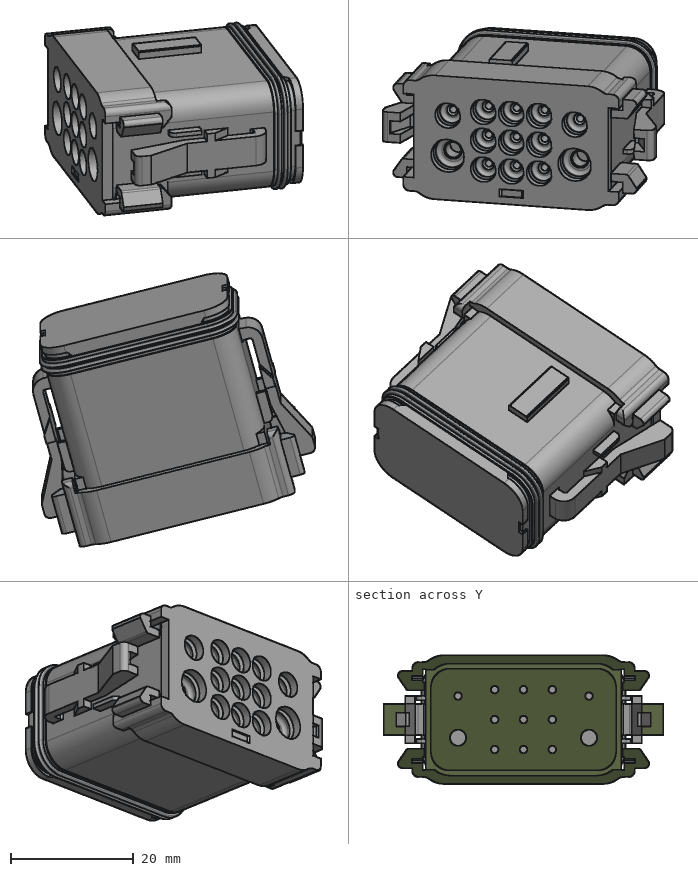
import cadquery as cq
import math


length = 34.15
shell_half_x = 15.95
shell_half_z = 9.15
shell_corner = 3.95

cap_plate = 1.8
cap_length = 9.2
cap_height = 21.05
cap_half_z = cap_height / 2
cap_half_x = 18.15
cap_shoulder_z = 9.4
cap_flat_half_x = 12.85
cap_swell_end = (15.4, 9.65)
cap_ledge_start_x = 16.15
cap_ledge_round = 1.1
cap_side_half_x = 16.4
ledge_under_z = 7.05

tab_inner_x = 16.42
tab_end_y = 11.2
tab_round = 0.9
tab_foot_z = 5.3
tab_foot_y = 9.8

hook_start_y = 2.45
hook_end_y = 9.1
hook_top_z = 7.95
hook_under_z = 4.75
hook_lip_z = 6.1
hook_lip_x = 16.15
hook_slot_end_z = 6.75
hook_tip_x = 20.5
hook_tip_z = 7.0
hook_heel_x = 19.0
hook_round = 0.78
hook_heel_round = 0.45

block_inner_x = 14.6
block_reach = block_inner_x - (shell_half_x - shell_corner)
block_top_z = shell_half_z - shell_corner + math.sqrt(shell_corner**2 - block_reach**2)

nose_half_x = 15.5
nose_half_z = 8.55
nose_corner = 3.65
seal_start_y = 29.15
seal_end_y = 32.05
seal_half_x = 16.05
seal_half_z = 9.15
seal_corner = 4.3
seal_rib_height = 0.6
seal_rib_width = 0.55
seal_rib_centers = (30.1, 31.1)
seal_rib_flare = 0.1
seal_rib_root = 0.25
seal_chamfer = 0.1

wedge_rim = 1.3
wedge_half_x = 15.8
wedge_half_z = 9.1
wedge_corner = 3.95
wedge_pad_half_x = 11.6
wedge_pad_taper = 0.75
notch_half_z = 1.3
notch_lip = 0.4
notch_step_x = 14.9

latch_half_z = 2.55
latch_outer_x = 19.3
latch_inner_x = 17.65
latch_root_y = 27.55
latch_outer_bend_y = 27.33
latch_root_inner_y = 25.5
latch_bend = 2.35
latch_bend_inner = 0.4
latch_root_flare = 0.3
latch_kink_y = 13.5
latch_tip_x = 22.8
latch_tip_y = 6.5
latch_end_y = 3.92
latch_end_inner_x = 19.65
latch_tip_round = 0.95
wing_half_z = 3.9
wing_y = (16.93, 18.3, 20.85)
thumb_half_z = 1.1
thumb_x = (19.2, 21.4)
thumb_floor_y = 8.8

guide_x = 17.55
guide_y = (11.25, 16.5)
guide_z = (3.15, 3.9)
guide_round = 0.9

key_x = (-6.65, -2.8)
key_y = (11.6, 22.15)
key_top_z = 10.5
key_chamfer = 0.2

slot_half_x = 2.0
slot_z = (-9.25, -8.05)
slot_depth = 0.3
slot_taper = 0.3

grommet_start_y = 2.3
grommet_end_y = 8.2
plate_relief_y = 1.55
grommet_wall = 0.9
cavity_depth = 4.55

well_lip = 0.45
small_hole, large_hole = 4.2, 5.5
small_well, small_floor, small_rim, small_pin = 3.8, 2.45, 1.9, 1.2
large_well, large_floor, large_rim, large_pin = 5.2, 3.8, 3.0, 2.6
grid_x = 4.7
grid_z = 4.9
side_x = 10.68
side_small_z = 3.85
side_large_z = -2.95
small_places = [(i * grid_x, k * grid_z) for i in (-1, 0, 1) for k in (-1, 0, 1)]
small_places += [(side * side_x, side_small_z) for side in (-1, 1)]
large_places = [(side * side_x, side_large_z) for side in (-1, 1)]


def box(x, y, z):
    """Box between the (low, high) pairs x, y and z."""
    size = [high - low for low, high in (x, y, z)]
    return cq.Workplane("XY").box(*size, centered=False).translate((x[0], y[0], z[0]))


def end_plane(y):
    """Sketch plane with local axes X and Z at depth y; extruding by a negative length goes to +Y."""
    return cq.Workplane("XZ", origin=(0, y, 0))


def rounded_bar(half_x, half_z, corner, start, end):
    """Bar along Y with a rounded rectangular section."""
    bar = end_plane(start).rect(2 * half_x, 2 * half_z).extrude(start - end)
    return bar.edges("|Y").fillet(corner)


def both_sides(body):
    return body.union(body.mirror("YZ"))


def four_corners(body):
    upper = both_sides(body)
    return upper.union(upper.mirror("XY"))


def corner_at(x, other, axis="Z"):
    """Selector for the edge along axis that passes through x and the other in-plane coordinate."""
    reach = 0.05
    long_reach = 45.6
    if axis == "Z":
        center, reaches = (x, other, 0), (reach, reach, long_reach)
    else:
        center, reaches = (x, 0, other), (reach, long_reach, reach)
    low = [c - d for c, d in zip(center, reaches)]
    high = [c + d for c, d in zip(center, reaches)]
    return cq.selectors.BoxSelector(low, high)


def plan_prism(points, half_z):
    """Prism symmetric about z = 0 from points in X and Y."""
    return cq.Workplane("XY").polyline(points).close().extrude(half_z, both=True)


def revolved_at(profile, place):
    """Solid of revolution about a Y axis through place = (x, z)."""
    x, z = place
    return profile.revolve(360, (0, 0, 0), (0, 1, 0)).translate((x, 0, z))


def corner_block():
    """Block that squares off the housing's +X +Z corner inside the cap."""
    return box((block_inner_x, shell_half_x), (hook_start_y, tab_end_y), (0, block_top_z))


def latch():
    """Cantilever lever on the +X side, with its wings and thumb recess."""
    lever = plan_prism(
        [
            (shell_half_x, latch_root_y),
            (latch_outer_x, latch_outer_bend_y),
            (latch_outer_x, latch_kink_y),
            (latch_tip_x, latch_tip_y),
            (latch_tip_x, latch_end_y),
            (latch_end_inner_x, latch_end_y),
            (latch_inner_x, latch_kink_y),
            (latch_inner_x, latch_root_inner_y),
            (shell_half_x + latch_root_flare, latch_root_inner_y),
            (shell_half_x, latch_root_inner_y - latch_root_flare),
        ],
        latch_half_z,
    )
    lever = lever.edges(corner_at(latch_outer_x, latch_outer_bend_y)).fillet(latch_bend)
    lever = lever.edges(corner_at(latch_inner_x, latch_root_inner_y)).fillet(latch_bend_inner)
    lever = lever.edges(corner_at(latch_tip_x, latch_end_y)).fillet(latch_tip_round)

    wing_end, ramp_low, ramp_high = wing_y
    wings = plan_prism(
        [
            (latch_outer_x, wing_end),
            (latch_outer_x, ramp_low),
            (latch_inner_x, ramp_high),
            (latch_inner_x, wing_end),
        ],
        wing_half_z,
    )
    floor_inner_x, floor_outer_x = thumb_x
    flare_slope = (latch_kink_y - latch_tip_y) / (latch_tip_x - latch_outer_x)
    thumb = plan_prism(
        [
            (latch_inner_x, latch_end_y),
            (floor_outer_x, latch_end_y),
            (floor_outer_x, thumb_floor_y - flare_slope * (floor_outer_x - floor_inner_x)),
            (floor_inner_x, thumb_floor_y),
            (latch_inner_x, thumb_floor_y),
        ],
        thumb_half_z,
    )
    return lever.union(wings).cut(thumb)


def guides():
    """Rails above and below the latch on the +X side."""
    rail = box((shell_half_x, guide_x), guide_y, guide_z)
    rail = rail.edges("|Z and >X and <Y").fillet(guide_round)
    return rail.union(rail.mirror("XY"))


def key_rib():
    rib = box(key_x, key_y, (0, key_top_z))
    return rib.faces(">Z").edges("|Y").chamfer(key_chamfer)


def grommet_bar(start, end):
    """Bar with the section of the grommet and its pocket."""
    return rounded_bar(
        shell_half_x - grommet_wall,
        shell_half_z - grommet_wall,
        shell_corner - grommet_wall,
        start,
        end,
    )


def shell():
    return rounded_bar(shell_half_x, shell_half_z, shell_corner, cap_plate, seal_start_y)


def nose():
    return rounded_bar(nose_half_x, nose_half_z, nose_corner, seal_start_y, seal_end_y)


def make_housing():
    body = shell().union(four_corners(corner_block())).union(nose()).union(key_rib())
    body = body.union(both_sides(latch())).union(both_sides(guides()))
    return body.cut(grommet_bar(cap_plate, grommet_end_y))


def cavity(well, floor, rim, pin, place):
    """Well with a bowl from well to floor diameter, then a blind pin hole with a rounded rim."""
    bowl_radius = (well - floor) / 2
    rim_radius = (rim - pin) / 2
    bowl_start_y = grommet_start_y + well_lip
    floor_y = bowl_start_y + bowl_radius
    cavity_end_y = grommet_start_y + cavity_depth
    profile = (
        cq.Workplane("XY")
        .moveTo(0, grommet_start_y)
        .lineTo(well / 2, grommet_start_y)
        .lineTo(well / 2, bowl_start_y)
        .tangentArcPoint((floor / 2, floor_y), relative=False)
        .lineTo(rim / 2, floor_y)
        .radiusArc((pin / 2, floor_y + rim_radius), -rim_radius)
        .lineTo(pin / 2, cavity_end_y)
        .lineTo(0, cavity_end_y)
        .close()
    )
    return revolved_at(profile, place)


def make_grommet():
    body = grommet_bar(grommet_start_y, grommet_end_y)
    for place in small_places:
        body = body.cut(cavity(small_well, small_floor, small_rim, small_pin, place))
    for place in large_places:
        body = body.cut(cavity(large_well, large_floor, large_rim, large_pin, place))
    return body


def collar():
    """Swollen cap outline with four corner ledges; the sides are open between the ledges."""
    quarter = (
        end_plane(0)
        .lineTo(0, cap_half_z)
        .lineTo(cap_flat_half_x, cap_half_z)
        .tangentArcPoint(cap_swell_end, relative=False)
        .tangentArcPoint((cap_ledge_start_x, cap_shoulder_z), relative=False)
        .lineTo(tab_inner_x, cap_shoulder_z)
        .lineTo(tab_inner_x, ledge_under_z)
        .lineTo(cap_side_half_x, ledge_under_z)
        .lineTo(cap_side_half_x, 0)
        .close()
        .extrude(-cap_length)
    )
    return four_corners(quarter)


def tab():
    """Ledge of the +X +Z corner, running past the collar, with the slot above the hook lip."""
    plate = (
        cq.Workplane("YZ", origin=(tab_inner_x, 0, 0))
        .polyline(
            [
                (0, cap_shoulder_z),
                (tab_end_y, cap_shoulder_z),
                (tab_end_y, ledge_under_z),
                (tab_foot_y, tab_foot_z),
                (hook_start_y, tab_foot_z),
                (hook_start_y, hook_lip_z),
                (hook_end_y, hook_slot_end_z),
                (hook_end_y, ledge_under_z),
                (0, ledge_under_z),
            ]
        )
        .close()
        .extrude(cap_half_x - tab_inner_x)
    )
    plate = plate.edges("|X and >Y and >Z").fillet(tab_round)
    rounding = rounded_bar(cap_half_x, cap_shoulder_z, cap_ledge_round, 0, tab_end_y)
    return plate.intersect(rounding)


def hook():
    """Outer hook of the +X +Z corner."""
    body = (
        end_plane(hook_start_y)
        .polyline(
            [
                (cap_half_x, hook_top_z),
                (hook_tip_x, hook_top_z),
                (hook_tip_x, hook_tip_z),
                (hook_heel_x, hook_under_z),
                (hook_lip_x, hook_under_z),
                (hook_lip_x, hook_lip_z),
                (tab_inner_x, hook_lip_z),
                (tab_inner_x, tab_foot_z),
                (cap_half_x, tab_foot_z),
            ]
        )
        .close()
        .extrude(hook_start_y - hook_end_y)
    )
    body = body.edges(corner_at(hook_tip_x, hook_top_z, "Y")).fillet(hook_round)
    return body.edges(corner_at(hook_heel_x, hook_under_z, "Y")).fillet(hook_heel_round)


def face_slot():
    """Shallow recess in the cap face with sloping ends."""
    bottom, top = slot_z
    profile = cq.Workplane("XY", origin=(0, 0, bottom)).polyline(
        [
            (-slot_half_x, 0),
            (slot_half_x, 0),
            (slot_half_x - slot_taper, slot_depth),
            (slot_taper - slot_half_x, slot_depth),
        ]
    )
    return profile.close().extrude(top - bottom)


def cap_hole(diameter, place):
    """Straight hole through the end plate."""
    profile = cq.Workplane("XY").rect(diameter / 2, cap_plate, centered=False)
    return revolved_at(profile, place)


def make_cap():
    side_gap = box((block_inner_x, tab_inner_x), (cap_plate, cap_length), (-block_top_z, block_top_z))
    body = collar().cut(both_sides(side_gap))
    body = body.union(four_corners(tab().union(hook())))
    body = body.cut(shell()).cut(face_slot()).cut(grommet_bar(plate_relief_y, cap_plate))
    for place in small_places:
        body = body.cut(cap_hole(small_hole, place))
    for place in large_places:
        body = body.cut(cap_hole(large_hole, place))
    return body


def seal_rib(center):
    """Round-topped rib swept around the seal at depth center."""
    path = end_plane(center).rect(2 * seal_half_x, 2 * seal_half_z).extrude(-0.45)
    path = path.edges("|Y").fillet(seal_corner).faces("<Y").wires().val()
    radius = seal_rib_width / 2
    root_z = seal_half_z - seal_rib_root
    shoulder_z = seal_half_z + seal_rib_height - radius
    profile = (
        cq.Workplane("YZ")
        .moveTo(center - radius - seal_rib_flare, root_z)
        .lineTo(center - radius, shoulder_z)
        .threePointArc((center, shoulder_z + radius), (center + radius, shoulder_z))
        .lineTo(center + radius + seal_rib_flare, root_z)
        .close()
    )
    return profile.sweep(cq.Workplane(path))


def make_seal():
    ring = rounded_bar(seal_half_x, seal_half_z, seal_corner, seal_start_y, seal_end_y)
    ring = ring.faces("<Y or >Y").edges().chamfer(seal_chamfer).cut(nose())
    for center in seal_rib_centers:
        ring = ring.union(seal_rib(center))
    return ring


def make_wedge():
    rim_y = length - wedge_rim
    rim = rounded_bar(wedge_half_x, wedge_half_z, wedge_corner, rim_y, length)
    neck = rounded_bar(nose_half_x, nose_half_z, nose_corner, seal_end_y, rim_y)
    pads = plan_prism(
        [
            (-wedge_pad_half_x, rim_y),
            (wedge_pad_half_x, rim_y),
            (wedge_pad_half_x - wedge_pad_taper, seal_end_y),
            (wedge_pad_taper - wedge_pad_half_x, seal_end_y),
        ],
        wedge_half_z,
    )
    body = rim.union(neck).union(pads)
    notch_z = (-notch_half_z, notch_half_z)
    notch = box((nose_half_x, wedge_half_x), (rim_y, length), notch_z)
    notch = notch.union(box((notch_step_x, wedge_half_x), (length - notch_lip, length), notch_z))
    return body.cut(both_sides(notch))


housing = make_housing()
grommet = make_grommet()
cap = make_cap()
seal = make_seal()
wedge = make_wedge()

result = cq.Compound.makeCompound(
    [housing.val(), grommet.val(), cap.val(), seal.val(), wedge.val()]
)